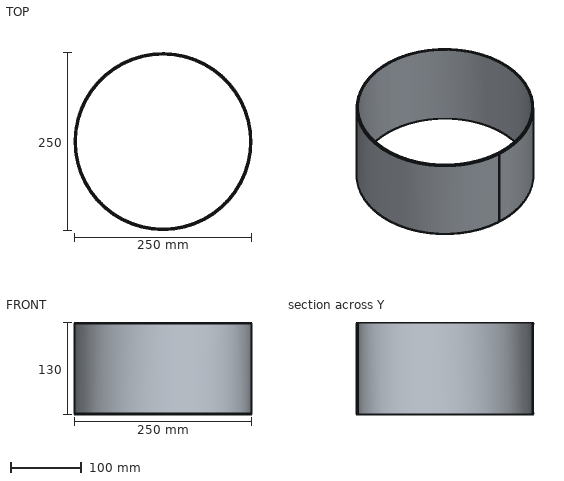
import cadquery as cq

outer_diameter = 250.0
height = 130.0
wall = 2.5
bevel_height = 2.0
bevel_width = 0.8
inner_chamfer = 0.5
slit_width = 2.0

outer_radius = outer_diameter / 2
inner_radius = outer_radius - wall
outer_rim_radius = outer_radius - bevel_width
inner_rim_radius = inner_radius + inner_chamfer
half_height = height / 2
bevel_start = half_height - bevel_height
chamfer_start = half_height - inner_chamfer


def make_ring():
    """Revolve the wall section, steeply bevelled outside and lightly chamfered inside."""
    section = [
        (inner_rim_radius, -half_height),
        (outer_rim_radius, -half_height),
        (outer_radius, -bevel_start),
        (outer_radius, bevel_start),
        (outer_rim_radius, half_height),
        (inner_rim_radius, half_height),
        (inner_radius, chamfer_start),
        (inner_radius, -chamfer_start),
    ]
    return cq.Workplane("XZ").polyline(section).close().revolve(360, (0, 0), (0, 1))


def make_slit():
    """Cutter from the axis out past the -X wall, with one face on the Y = 0 plane."""
    slit = cq.Workplane("XY").box(outer_diameter, slit_width, height, centered=(True, False, True))
    return slit.translate((-outer_radius, 0, 0))


result = make_ring().cut(make_slit())